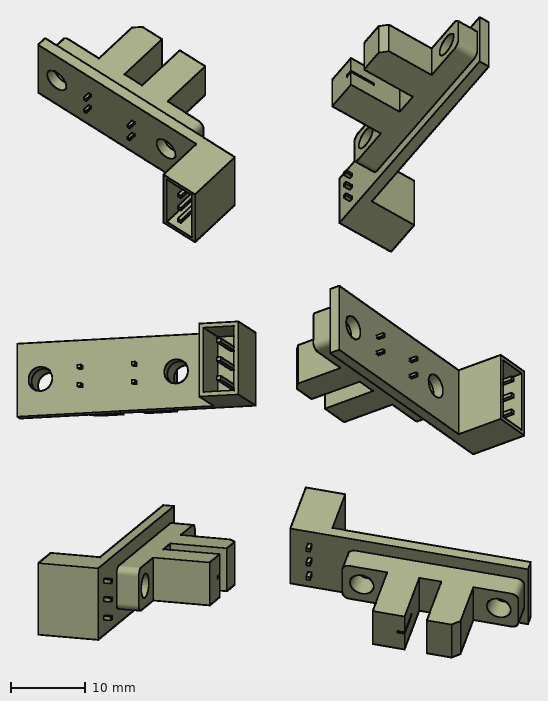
import cadquery as cq


board_length = 33.0
board_height = 10.0
board_thickness = 1.52
mount_hole_diameter = 3.3
mount_hole_spacing = 19.0

connector_width = 5.48
connector_depth = 6.95
connector_wall = 0.6
contact_size = 0.53
contact_pitch = 2.57
contact_count = 3
contact_tail = 1.0

sensor_offset = 0.53
sensor_length = 24.45
sensor_height = 6.0
sensor_base_thickness = 3.15
sensor_corner_radius = 1.0
prong_span = 11.95
prong_length = 8.0
slot_width = 3.07
prong_chamfer = 1.0
slit_length = 3.8
slit_height = 0.3
slit_depth = 1.0
leg_size = 0.43
leg_spacing_x = 7.6
leg_spacing_z = 2.5
leg_protrusion = 1.0

sensor_center_x = sensor_offset + sensor_length / 2
connector_center_x = board_length - connector_width / 2
connector_front_y = -board_thickness - connector_depth
prong_width = (prong_span - slot_width) / 2
mount_hole_places = [
    (sensor_center_x + side * mount_hole_spacing / 2, 0) for side in (-1, 1)
]
leg_places = [
    (sensor_center_x + side * leg_spacing_x / 2, level * leg_spacing_z / 2)
    for side in (-1, 1)
    for level in (-1, 1)
]
contact_places = [
    (connector_center_x, (i - (contact_count - 1) / 2) * contact_pitch)
    for i in range(contact_count)
]


def block(width, height, center_x, y_start, y_end, center_z=0):
    """Box centred on (center_x, center_z) that runs along Y from y_start to y_end."""
    solid = cq.Workplane("XY").box(width, y_end - y_start, height, centered=(True, False, True))
    return solid.translate((center_x, y_start, center_z))


def mount_holes():
    """Cylinders for the two holes that pass through the board and the sensor base."""
    return (
        cq.Workplane("XZ", origin=(0, sensor_base_thickness, 0))
        .pushPoints(mount_hole_places)
        .circle(mount_hole_diameter / 2)
        .extrude(sensor_base_thickness + board_thickness)
    )


def legs():
    """The four sensor legs, from the sensor base through the board."""
    leg_tip_y = -board_thickness - leg_protrusion
    return [block(leg_size, leg_size, x, leg_tip_y, 0, z) for x, z in leg_places]


def make_board():
    """Board with mounting holes and leg holes, and the open connector shell with its contacts."""
    board = block(board_length, board_height, board_length / 2, -board_thickness, 0)
    board = board.cut(mount_holes())
    for leg in legs():
        board = board.cut(leg)

    shell = block(
        connector_width, board_height, connector_center_x, connector_front_y, -board_thickness
    )
    cavity = block(
        connector_width - 2 * connector_wall,
        board_height - 2 * connector_wall,
        connector_center_x,
        connector_front_y,
        -board_thickness,
    )
    board = board.union(shell.cut(cavity))

    for x, z in contact_places:
        contact = block(contact_size, contact_size, x, connector_front_y, contact_tail, z)
        board = board.union(contact)
    return board


def make_sensor():
    """Sensor base with rounded corners and mounting holes, four legs, and two prongs.

    The right prong has a narrow slit in its inner face, open at the tip.
    """
    sensor = block(sensor_length, sensor_height, sensor_center_x, 0, sensor_base_thickness)
    sensor = sensor.edges("|Y").fillet(sensor_corner_radius)
    sensor = sensor.cut(mount_holes())

    prong_top = sensor_base_thickness + prong_length
    prong_shift = (slot_width + prong_width) / 2
    left_prong = block(
        prong_width, sensor_height, sensor_center_x - prong_shift, sensor_base_thickness, prong_top
    )
    left_prong = left_prong.edges("<X and >Y").chamfer(prong_chamfer)
    right_prong = block(
        prong_width, sensor_height, sensor_center_x + prong_shift, sensor_base_thickness, prong_top
    )
    slit = block(
        slit_depth,
        slit_height,
        sensor_center_x + (slot_width + slit_depth) / 2,
        prong_top - slit_length,
        prong_top,
    )
    right_prong = right_prong.cut(slit)
    sensor = sensor.union(left_prong).union(right_prong)

    for leg in legs():
        sensor = sensor.union(leg)
    return sensor


board = make_board()
sensor = make_sensor()

result = cq.Compound.makeCompound([board.val(), sensor.val()])